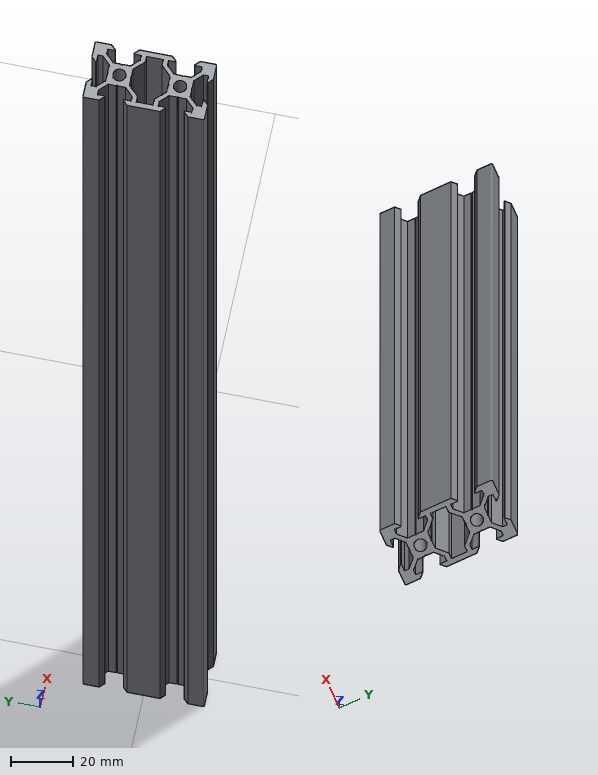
import cadquery as cq
import math

length = 460
depth = 40.0
cell = depth / 2
mouth_width = 9.0
mouth_bevel = 1.5
lip_thickness = 1.8
channel_width = 11.0
core_width = 8.0
groove_width = 0.5
groove_depth = 0.25
wall_height = 5.5
corner_radius = 0.5
web_thickness = 1.5
bore_diameter = 4.2

half_cell = cell / 2
half_core = core_width / 2
lip_back = half_cell - lip_thickness
throat_level = half_cell - mouth_bevel
throat_width = mouth_width - 2 * mouth_bevel
web_offset = web_thickness / math.sqrt(2)
floor_half_width = half_core - web_offset
shoulder_level = channel_width / 2 + web_offset
cell_centers = [(0, -half_cell), (0, half_cell)]


def mirrored_outline(right_side):
    """Close an outline from its right half, listed from one end of the mirror line to the other."""
    left_side = [(-x, y) for x, y in reversed(right_side) if x > 0]
    return right_side + left_side


def extruded(outline):
    return cq.Workplane("XY").polyline(outline).close().extrude(length)


def v_slot(center, angle):
    """V-slot that opens toward +Y before it is turned by the angle and moved to the cell centre."""
    outline = mirrored_outline([
        (0, half_core - groove_depth),
        (groove_width / 2, half_core),
        (floor_half_width, half_core),
        (channel_width / 2, shoulder_level),
        (channel_width / 2, lip_back),
        (throat_width / 2, lip_back),
        (throat_width / 2, throat_level),
        (mouth_width / 2, half_cell),
    ])
    return extruded(outline).rotate((0, 0, 0), (0, 0, 1), angle).translate((*center, 0))


def central_cavity():
    """Hollow between the two cores: diagonal webs, with a square-cornered recess into each side wall."""
    end_level = half_cell - half_core
    wall_half_height = wall_height / 2
    recess_start = floor_half_width + end_level - wall_half_height
    outline = mirrored_outline([
        (0, -end_level - groove_depth),
        (groove_width / 2, -end_level),
        (floor_half_width, -end_level),
        (recess_start, -wall_half_height),
        (lip_back, -wall_half_height),
        (lip_back, wall_half_height),
        (recess_start, wall_half_height),
        (floor_half_width, end_level),
        (groove_width / 2, end_level),
        (0, end_level + groove_depth),
    ])
    return extruded(outline)


def bores():
    """Round hole through the middle of each core."""
    return cq.Workplane("XY").pushPoints(cell_centers).circle(bore_diameter / 2).extrude(length)


bar = cq.Workplane("XY").rect(cell, depth).extrude(length).edges("|Z").fillet(corner_radius)
for center in cell_centers:
    outward_angle = 0 if center[1] > 0 else 180
    for angle in (outward_angle, 90, -90):
        bar = bar.cut(v_slot(center, angle))

result = bar.cut(central_cavity()).cut(bores())